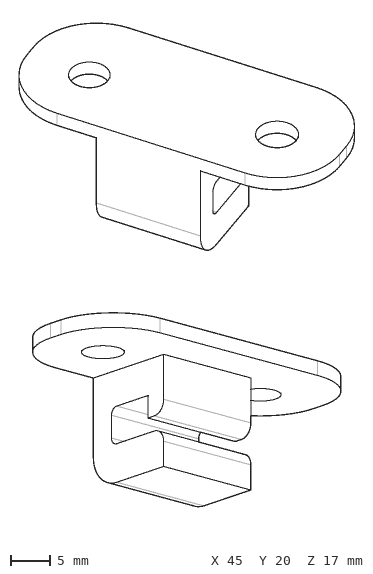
import cadquery as cq

plate_length = 45.0
plate_width = 20.0
plate_thickness = 2.0
corner_radius = 9.0

hole_spacing = plate_length - 2 * corner_radius
hole_y = -1.0
left_hole_diameter = 5.3
right_hole_diameter = 5.5

total_height = 17.0
hook_offset = 14.62
hook_width = 15.0
hook_depth = 13.5
wall_thickness = 3.5
floor_thickness = 5.18
slot_height = 5.05
lip_thickness = 3.0
lip_drop = 3.0
heel_radius = 4.5
lip_radius = 1.8
slot_radius = 1.0

front_y = -plate_width / 2
back_y = front_y + hook_depth
wall_y = front_y + wall_thickness
lip_y = back_y - lip_thickness
bottom_z = -total_height
floor_z = bottom_z + floor_thickness
roof_z = floor_z + slot_height
lip_z = roof_z - lip_drop
hook_x = -plate_length / 2 + hook_offset


def make_plate():
    plate = (
        cq.Workplane("XY")
        .workplane(offset=-plate_thickness)
        .rect(plate_length, plate_width)
        .extrude(plate_thickness)
        .edges("|Z")
        .fillet(corner_radius)
    )
    for x, diameter in (
        (-hole_spacing / 2, left_hole_diameter),
        (hole_spacing / 2, right_hole_diameter),
    ):
        hole = (
            cq.Workplane("XY")
            .workplane(offset=-plate_thickness)
            .center(x, hole_y)
            .circle(diameter / 2)
            .extrude(plate_thickness)
        )
        plate = plate.cut(hole)
    return plate


def round_edge(body, y, z, radius):
    """Fillet the hook edge that runs along X through (y, z)."""
    edge_middle = (hook_x + hook_width / 2, y, z)
    return body.edges(cq.selectors.NearestToPointSelector(edge_middle)).fillet(radius)


def make_hook():
    hook = (
        cq.Workplane("YZ")
        .workplane(offset=hook_x)
        .polyline([
            (front_y, -plate_thickness),
            (front_y, bottom_z),
            (back_y, bottom_z),
            (back_y, floor_z),
            (wall_y, floor_z),
            (wall_y, roof_z),
            (lip_y, roof_z),
            (lip_y, lip_z),
            (back_y, lip_z),
            (back_y, -plate_thickness),
        ])
        .close()
        .extrude(hook_width)
    )
    for y, z, radius in (
        (front_y, bottom_z, heel_radius),
        (back_y, floor_z, lip_radius),
        (back_y, lip_z, lip_radius),
        (wall_y, floor_z, slot_radius),
        (wall_y, roof_z, slot_radius),
    ):
        hook = round_edge(hook, y, z, radius)
    return hook


result = make_plate().union(make_hook())